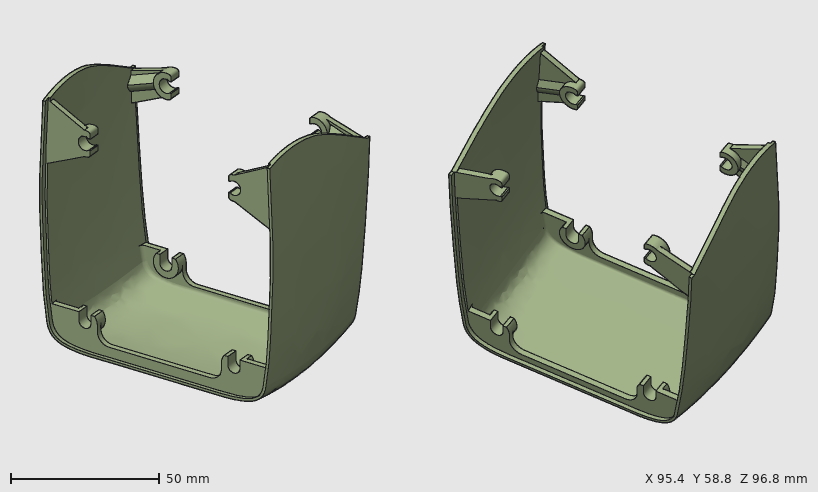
import cadquery as cq
import math

depth = 58.8
belly_y = 25.7
blank_top = 98.6

wall = 1.8
lip_wall = 1.1
lip_depth = 1.9

front_section = dict(
    y=0.0,
    side=[(45.45, blank_top), (46.3, 81.2), (47.0, 56.1), (46.3, 36.7), (45.45, 21.3), (44.1, 10.7)],
    corner=[(40.9, 4.9), (33.8, 2.5), (21.3, 2.08)],
    floor=2.0,
)
belly_section = dict(
    y=belly_y,
    side=[(46.4, blank_top), (47.2, 81.2), (47.3, 56.1), (46.8, 36.7), (45.9, 21.3), (43.9, 8.9)],
    corner=[(40.2, 2.8), (33.8, 0.4), (21.3, 0.05)],
    floor=0.0,
)
back_section = dict(
    y=depth,
    side=[(47.2, blank_top), (47.7, 81.2), (46.4, 56.1), (45.1, 36.7), (43.4, 21.3), (41.9, 11.5)],
    corner=[(38.3, 6.2), (31.9, 3.9), (21.3, 3.43)],
    floor=3.4,
)
sections = [front_section, belly_section, back_section]

top_front = (0.0, 94.0)
top_crest = (15.8, 96.7)
top_back = (57.1, 81.3)
top_between = [(26.1, 95.4), (35.3, 92.2), (45.0, 87.5)]

plate_thick = 2.2
boss_length = 4.9
boss_radius = 5.0
boss_x = 30.0
front_plate_fillet = 1.0
back_plate_fillet = 1.45

clip_z = 81.3
clip_bore = 2.66
clip_mouth = 4.35
clip_tip_x = 27.85
clip_tip_fillet = 1.2
web_half_height = 4.9
bracket_root_x = 50.3
front_root_top = 96.5
back_root_top = 80.3
root_bottom = 67.1
rib_start = boss_x + (clip_bore + boss_radius) / 2
rib_fall = 20.0
rib_top = 2.7
rib_bottom = -3.1
front_rib_height = 3.4
back_rib_height = 4.4

base_top = 16.7
slot_width = 4.8
slot_z = 13.5
window_half = boss_x - boss_radius
window_floor = 6.7
window_fillet = 4.6


def section_wire(section, inset):
    """Closed outline of one cross-section, moved inwards by the inset."""
    diagonal = inset * math.sqrt(0.5)
    side = [(x - inset, z) for x, z in section["side"]]
    (mid_x, mid_z), (end_x, end_z), (floor_x, floor_z) = section["corner"]
    right_bottom = [
        (mid_x - diagonal, mid_z + diagonal),
        (end_x - inset / 4, end_z + inset),
        (floor_x, floor_z + inset),
    ]
    floor_mid = (0.0, section["floor"] + inset)

    def flip(point):
        return (-point[0], point[1])

    left_side = [flip(point) for point in reversed(side)]
    left_bottom = [flip(point) for point in reversed(right_bottom)]
    outline = (
        cq.Workplane("XZ", origin=(0, section["y"], 0))
        .moveTo(*side[0])
        .spline(side[1:], includeCurrent=True)
        .spline(right_bottom + [floor_mid] + left_bottom + [left_side[0]], includeCurrent=True)
        .spline(left_side[1:], includeCurrent=True)
        .close()
    )
    return outline.val()


def lofted_body(inset):
    wires = [section_wire(section, inset) for section in sections]
    return cq.Workplane(obj=cq.Solid.makeLoft(wires))


def slab(y_start, thickness):
    """Wide block that selects a stretch of the depth."""
    width = 2 * bracket_root_x
    return cq.Workplane("XY").box(width, thickness, blank_top + 1.9, centered=(True, False, False)).translate(
        (0, y_start, -1)
    )


def top_trim():
    """Everything above the curved top edge of the side walls."""
    return (
        cq.Workplane("YZ")
        .moveTo(*top_front)
        .spline([top_crest] + top_between + [top_back], includeCurrent=True)
        .lineTo(depth + 1, top_back[1])
        .lineTo(depth + 1, blank_top + 1)
        .lineTo(-1, blank_top + 1)
        .lineTo(-1, top_front[1])
        .close()
        .extrude(bracket_root_x, both=True)
    )


skin = lofted_body(0)
cavity = lofted_body(wall)
lip_cavity = lofted_body(lip_wall)
shell = skin.cut(cavity)
for lip_start in (0, depth - lip_depth):
    shell = shell.cut(lip_cavity.intersect(slab(lip_start, lip_depth)))
shell = shell.cut(top_trim())


def extrude_y(sketch, length):
    return sketch.extrude(-length)


def both_sides(body):
    return body.union(body.mirror("YZ"))


def base_plate():
    """Low plate across the floor with a window and two open screw slots."""
    plate = extrude_y(
        cq.Workplane("XZ").center(0, base_top / 2).rect(2 * bracket_root_x, base_top), plate_thick
    )
    window = (
        extrude_y(
            cq.Workplane("XZ").center(0, window_floor + base_top / 2).rect(2 * window_half, base_top), boss_length
        )
        .edges("|Y and <Z")
        .fillet(window_fillet)
    )
    shoulder = extrude_y(
        cq.Workplane("XZ").center(0, slot_z + base_top / 2).rect(2 * boss_x, base_top), boss_length
    )
    plate = plate.cut(window).cut(shoulder)

    boss = extrude_y(cq.Workplane("XZ").center(boss_x, slot_z).circle(boss_radius), boss_length)
    headroom = extrude_y(
        cq.Workplane("XZ").center(0, 2 * base_top).rect(2 * bracket_root_x, 2 * base_top), boss_length
    )
    plate = plate.union(both_sides(boss)).cut(headroom)

    slot_round = extrude_y(cq.Workplane("XZ").center(boss_x, slot_z).circle(slot_width / 2), boss_length)
    slot_straight = extrude_y(
        cq.Workplane("XZ").center(boss_x, slot_z + base_top / 2).rect(slot_width, base_top), boss_length
    )
    return plate.cut(both_sides(slot_round.union(slot_straight)))


def bracket_rib(height):
    """Rib behind a bracket: flat upper slope, rounded underside, falling towards the wall."""
    fall = math.radians(rib_fall)
    along_rib = cq.Plane(
        origin=(rib_start, 0, clip_z), xDir=(0, 1, 0), normal=(math.cos(fall), 0, -math.sin(fall))
    )
    return (
        cq.Workplane(along_rib)
        .moveTo(0, rib_top)
        .lineTo(plate_thick, rib_top)
        .lineTo(height, 0)
        .threePointArc(((plate_thick + height) / 2, rib_bottom * 0.75), (plate_thick, rib_bottom))
        .lineTo(0, rib_bottom)
        .close()
        .extrude((bracket_root_x - rib_start) / math.cos(fall))
    )


def clip_bracket(root_top, rib_height):
    """Tapered bracket on the right wall that ends in an open snap clip."""
    boss = extrude_y(cq.Workplane("XZ").center(boss_x, clip_z).circle(boss_radius), boss_length)
    bore = extrude_y(cq.Workplane("XZ").center(boss_x, clip_z).circle(clip_bore), boss_length)
    mouth = extrude_y(
        cq.Workplane("XZ").center(boss_x - boss_radius, clip_z).rect(2 * boss_radius, clip_mouth), boss_length
    )
    beyond_tip = extrude_y(
        cq.Workplane("XZ").center(clip_tip_x - boss_radius, clip_z).rect(2 * boss_radius, 4 * boss_radius),
        boss_length,
    )
    clip = boss.cut(bore).cut(mouth).cut(beyond_tip)
    clip = clip.edges("|Y and <X").edges("<Z or >Z").fillet(clip_tip_fillet)

    web = extrude_y(
        cq.Workplane("XZ")
        .polyline(
            [
                (boss_x, clip_z + web_half_height),
                (bracket_root_x, root_top),
                (bracket_root_x, root_bottom),
                (boss_x, clip_z - web_half_height),
            ]
        )
        .close(),
        plate_thick,
    )
    return clip.union(web.cut(bore)).union(bracket_rib(rib_height))


def end_frame(root_top, rib_height):
    return base_plate().union(both_sides(clip_bracket(root_top, rib_height)))


front_frame = end_frame(front_root_top, front_rib_height).translate((0, lip_depth, 0))
back_frame = end_frame(back_root_top, back_rib_height).mirror("XZ").translate((0, depth - lip_depth, 0))
frames = front_frame.union(back_frame).intersect(skin)


def fillet_plate_root(body, inner_face_y, radius):
    """Round the corner between the inner face of a base plate and the wall and floor around it."""
    near_corner = (-bracket_root_x, inner_face_y - 0.1, -1)
    far_corner = (bracket_root_x, inner_face_y + 0.1, base_top + 1)
    seams = cq.selectors.BoxSelector(near_corner, far_corner, boundingbox=True)
    return body.edges(seams).edges("%BSPLINE").fillet(radius)


plate_inner = lip_depth + plate_thick
body = shell.union(frames)
body = fillet_plate_root(body, plate_inner, front_plate_fillet)
body = fillet_plate_root(body, depth - plate_inner, back_plate_fillet)

result = body